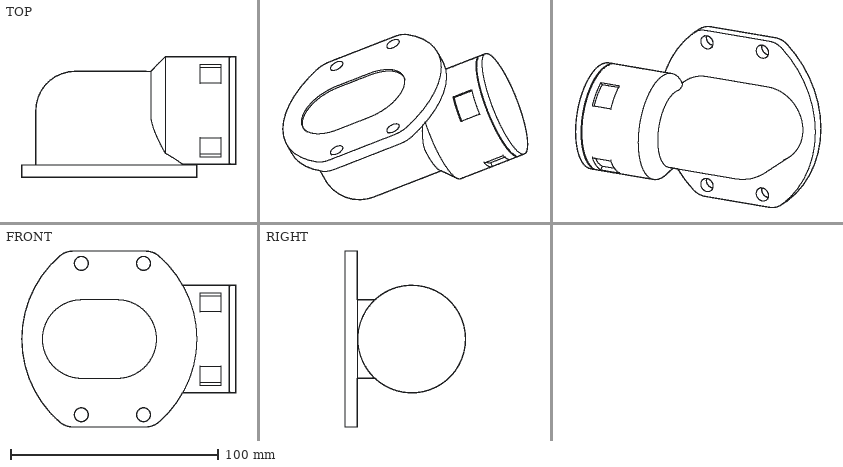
import cadquery as cq
import math

FLANGE_HEIGHT = 85.0
FLANGE_HALF_WIDTH = 42.25
FLANGE_THICKNESS = 6.0
FLANGE_SIDE_RADIUS = 53.0
FLANGE_CORNER_RADIUS = 10.0
SCREW_HOLE_DIAMETER = 6.6
SCREW_CENTER_X = 1.5
SCREW_SPACING_X = 30.0
SCREW_SPACING_Z = 73.0

RECESS_LENGTH = 55.0
RECESS_WIDTH = 38.0
RECESS_CENTER_X = -4.75
RECESS_DEPTH = 1.0

PIPE_RADIUS = 19.0
PIPE_AXIS_Y = 32.25
FOOT_END_OFFSET = 16.5

SOCKET_RADIUS = 26.0
SOCKET_END_X = 61.0
CONE_START_X = 20.0
CONE_END_X = CONE_START_X + SOCKET_RADIUS - PIPE_RADIUS
GROOVE_DIAMETER = 51.0
GROOVE_WIDTH = 0.25
GROOVE_TO_END = 3.0

WINDOW_COUNT = 4
WINDOW_FIRST_ANGLE = 45.0
WINDOW_START_X = 43.75
WINDOW_LENGTH = 10.0
WINDOW_WIDTH = 12.7
WINDOW_FLOOR_RADIUS = 24.0


def mounting_plane():
    """Sketch plane on the mounting face with local axes +X and -Z, extruding toward +Y."""
    return cq.Workplane(cq.Plane((0, 0, 0), xDir=(1, 0, 0), normal=(0, 1, 0)))


def along_x(start_x):
    """Sketch plane square to the pipe axis, extruding toward +X."""
    return cq.Workplane(cq.Plane((start_x, PIPE_AXIS_Y, 0), xDir=(0, 1, 0), normal=(1, 0, 0)))


def make_flange():
    """Plate with flat ends and two bulging sides, blended by corner rounds."""
    half_height = FLANGE_HEIGHT / 2
    side_center = FLANGE_HALF_WIDTH - FLANGE_SIDE_RADIUS
    corner_x = side_center + math.sqrt(FLANGE_SIDE_RADIUS**2 - half_height**2)
    plate = (
        mounting_plane()
        .moveTo(-corner_x, half_height)
        .lineTo(corner_x, half_height)
        .threePointArc((FLANGE_HALF_WIDTH, 0), (corner_x, -half_height))
        .lineTo(-corner_x, -half_height)
        .threePointArc((-FLANGE_HALF_WIDTH, 0), (-corner_x, half_height))
        .close()
        .extrude(FLANGE_THICKNESS)
        .edges("|Y")
        .fillet(FLANGE_CORNER_RADIUS)
    )
    holes = (
        mounting_plane()
        .center(SCREW_CENTER_X, 0)
        .rect(SCREW_SPACING_X, SCREW_SPACING_Z, forConstruction=True)
        .vertices()
        .circle(SCREW_HOLE_DIAMETER / 2)
        .extrude(FLANGE_THICKNESS)
    )
    return plate.cut(holes)


def make_elbow():
    """Obround foot, round pipe and the quarter sphere that closes the bend."""
    foot_length = 2 * (FOOT_END_OFFSET + PIPE_RADIUS)
    foot = mounting_plane().slot2D(foot_length, 2 * PIPE_RADIUS).extrude(PIPE_AXIS_Y)
    pipe = along_x(-FOOT_END_OFFSET).circle(PIPE_RADIUS).extrude(FOOT_END_OFFSET + CONE_END_X)
    dome_rim = (-PIPE_RADIUS * math.sqrt(0.5), PIPE_RADIUS * math.sqrt(0.5))
    dome = (
        cq.Workplane("XZ", origin=(-FOOT_END_OFFSET, PIPE_AXIS_Y, 0))
        .lineTo(-PIPE_RADIUS, 0)
        .threePointArc(dome_rim, (0, PIPE_RADIUS))
        .close()
        .revolve(180, (0, 0, 0), (-1, 0, 0))
    )
    return foot.union(pipe).union(dome)


def make_socket():
    """Body of revolution: cone, cylinder and a narrow groove near the open end."""
    groove_end_x = SOCKET_END_X - GROOVE_TO_END
    groove_start_x = groove_end_x - GROOVE_WIDTH
    groove_radius = GROOVE_DIAMETER / 2
    profile = [
        (CONE_START_X, 0),
        (CONE_START_X, PIPE_RADIUS),
        (CONE_END_X, SOCKET_RADIUS),
        (groove_start_x, SOCKET_RADIUS),
        (groove_start_x, groove_radius),
        (groove_end_x, groove_radius),
        (groove_end_x, SOCKET_RADIUS),
        (SOCKET_END_X, SOCKET_RADIUS),
        (SOCKET_END_X, 0),
    ]
    turned = cq.Workplane("XY").polyline(profile).close().revolve(360, (0, 0, 0), (1, 0, 0))
    return turned.translate((0, PIPE_AXIS_Y, 0))


def make_window(angle):
    """Cutter for one window: straight sides and a cylindrical floor."""
    block = (
        along_x(WINDOW_START_X)
        .transformed(rotate=(0, 0, angle))
        .center(SOCKET_RADIUS, 0)
        .rect(SOCKET_RADIUS, WINDOW_WIDTH)
        .extrude(WINDOW_LENGTH)
    )
    core = along_x(WINDOW_START_X).circle(WINDOW_FLOOR_RADIUS).extrude(WINDOW_LENGTH)
    return block.cut(core)


def make_recess():
    """Obround pocket cutter for the mounting face."""
    outline = mounting_plane().center(RECESS_CENTER_X, 0).slot2D(RECESS_LENGTH, RECESS_WIDTH)
    return outline.extrude(RECESS_DEPTH)


socket = make_socket()
for index in range(WINDOW_COUNT):
    socket = socket.cut(make_window(WINDOW_FIRST_ANGLE + index * 360 / WINDOW_COUNT))

result = make_flange().union(make_elbow()).union(socket).cut(make_recess())